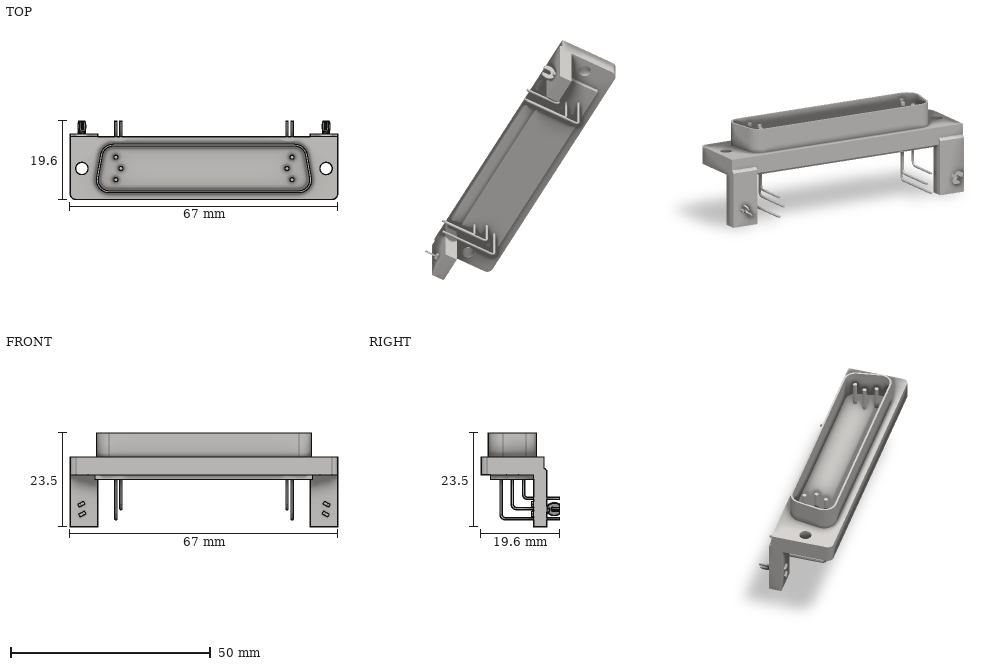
import cadquery as cq
import math


length = 67.0
flange_front = -7.8
flange_back = 8.0
flange_height = 4.5
flange_corner_radius = 1.5
mount_hole_diameter = 3.0
mount_hole_x = 30.55

shell_height = 6.0
shell_depth = 12.1
shell_wide_length = 55.1
shell_side_angle = 10.0
shell_corner_radius = 3.2
shell_wall = 0.5
shell_floor_depth = 0.7

pad_length = 54.4
pad_depth = 11.0
pad_height = 1.2

bracket_width = 7.0
bracket_back = 8.65
bracket_thickness = 3.3
bracket_bottom = -17.5
bracket_step_z = -2.75
bracket_step = bracket_back - flange_back

row_pitch = 2.8
outer_pin_x = 22.05
middle_pin_x = 20.8
pin_diameter = 1.0
pin_tip_z = 5.4
tail_diameter = 0.6
tail_bend_radius = 1.1
tail_end_y = 11.85
middle_tail_z = -12.9
tail_pitch = 2.55

lock_z = -13.05
lock_twist = 28.0
hook_width = 1.6
hook_thickness = 0.8
hook_protrusion = 0.6
hook_offset_across = 1.15
hook_offset_along = 0.5
lock_base_protrusion = 0.6
prong_thickness = 0.4
prong_base_half_width = 0.7
prong_bulge_half_width = 1.75
prong_tip_half_width = 1.3
prong_bulge_y = 10.7
prong_slot_width = 1.2
prong_slot_depth = 2.15
lock_embed = 0.7


def make_flange():
    depth = flange_back - flange_front
    center_y = (flange_back + flange_front) / 2
    return (
        cq.Workplane("XY")
        .box(length, depth, flange_height, centered=(True, True, False))
        .translate((0, center_y, -flange_height))
        .edges("|Z and <Y")
        .fillet(flange_corner_radius)
    )


def d_prism(inset, z_bottom, z_top):
    """D-shaped prism whose sides are set in from the shell outline."""
    half_depth = shell_depth / 2
    wide_half = shell_wide_length / 2
    narrow_half = wide_half - shell_depth * math.tan(math.radians(shell_side_angle))
    outline = (
        cq.Workplane("XY")
        .workplane(offset=z_bottom)
        .polyline([
            (-wide_half, -half_depth),
            (wide_half, -half_depth),
            (narrow_half, half_depth),
            (-narrow_half, half_depth),
        ])
        .close()
    )
    if inset:
        outline = outline.offset2D(-inset)
    return outline.extrude(z_top - z_bottom).edges("|Z").fillet(shell_corner_radius - inset)


def make_pad():
    return (
        cq.Workplane("XY")
        .box(pad_length, pad_depth, pad_height, centered=(True, True, False))
        .translate((0, 0, -flange_height - pad_height))
    )


def make_bracket(side):
    """Bracket leg at one end, with a small sloped step where it leaves the flange back."""
    bracket_front = bracket_back - bracket_thickness
    leg = (
        cq.Workplane("YZ")
        .polyline([
            (bracket_front, bracket_bottom),
            (bracket_back, bracket_bottom),
            (bracket_back, bracket_step_z - bracket_step),
            (flange_back, bracket_step_z),
            (bracket_front, bracket_step_z),
        ])
        .close()
        .extrude(bracket_width)
    )
    inner_x = length / 2 - bracket_width
    return leg.translate((inner_x if side > 0 else -length / 2, 0, 0))


def make_contact(x, y, tail_z):
    """Straight mating pin joined to a thin tail bent toward +Y."""
    pad_bottom = -flange_height - pad_height
    pin_bottom = -flange_height
    pin = cq.Workplane("XY", origin=(x, y, pin_bottom)).circle(pin_diameter / 2)
    pin = pin.extrude(pin_tip_z - pin_bottom)
    tail_top = (pad_bottom + pin_bottom) / 2
    bend_mid = tail_bend_radius * (1 - math.sqrt(0.5))
    path = (
        cq.Workplane("YZ", origin=(x, 0, 0))
        .moveTo(y, tail_top)
        .lineTo(y, tail_z + tail_bend_radius)
        .threePointArc((y + bend_mid, tail_z + bend_mid), (y + tail_bend_radius, tail_z))
        .lineTo(tail_end_y, tail_z)
    )
    tail = cq.Workplane("XY", origin=(x, y, tail_top)).circle(tail_diameter / 2).sweep(path)
    return pin.union(tail)


def make_hook():
    """Front end of a board-lock leg, with its -X front edge rounded over."""
    bracket_front = bracket_back - bracket_thickness
    return (
        cq.Workplane("XY")
        .box(hook_width, hook_protrusion + lock_embed, hook_thickness, centered=(True, False, True))
        .translate((0, bracket_front - hook_protrusion, 0))
        .edges("|Z and <X and <Y")
        .fillet(hook_protrusion)
        .translate((hook_offset_along, 0, hook_offset_across))
    )


def make_prongs():
    """Split tail of a board lock: two bowed prongs either side of a round-ended slot."""
    root_y = bracket_back - lock_embed
    slot_radius = prong_slot_width / 2
    slot_end_y = tail_end_y - prong_slot_depth
    bow_start = (bracket_back, prong_base_half_width)
    bow_peak = (prong_bulge_y, prong_bulge_half_width)
    bow_end = (tail_end_y, prong_tip_half_width)
    blade = (
        cq.Workplane("YZ")
        .moveTo(root_y, -prong_base_half_width)
        .lineTo(bow_start[0], -bow_start[1])
        .threePointArc((bow_peak[0], -bow_peak[1]), (bow_end[0], -bow_end[1]))
        .lineTo(tail_end_y, -slot_radius)
        .lineTo(slot_end_y + slot_radius, -slot_radius)
        .threePointArc((slot_end_y, 0), (slot_end_y + slot_radius, slot_radius))
        .lineTo(tail_end_y, slot_radius)
        .lineTo(*bow_end)
        .threePointArc(bow_peak, bow_start)
        .lineTo(root_y, prong_base_half_width)
        .close()
        .extrude(prong_thickness / 2, both=True)
    )
    base = (
        cq.Workplane("XY")
        .box(hook_width, lock_embed + lock_base_protrusion, hook_thickness, centered=(True, False, True))
        .translate((0, root_y, 0))
    )
    return blade.union(base)


def make_left_board_lock():
    hook = make_hook()
    opposite_hook = hook.rotate((0, 0, 0), (0, 1, 0), 180)
    lock = make_prongs().union(hook).union(opposite_hook)
    return lock.rotate((0, 0, 0), (0, 1, 0), -lock_twist).translate((-mount_hole_x, 0, lock_z))


body = make_flange().union(d_prism(0, -shell_floor_depth, shell_height))
body = body.cut(d_prism(shell_wall, -shell_floor_depth, shell_height))
body = body.union(make_pad())
mount_holes = (
    cq.Workplane("XY")
    .pushPoints([(-mount_hole_x, 0), (mount_hole_x, 0)])
    .circle(mount_hole_diameter / 2)
    .extrude(-flange_height)
)
body = body.cut(mount_holes)

left_lock = make_left_board_lock()
for side in (-1, 1):
    body = body.union(make_bracket(side))
body = body.union(left_lock).union(left_lock.mirror("YZ"))

for row, pin_x in ((-1, outer_pin_x), (0, middle_pin_x), (1, outer_pin_x)):
    tail_z = middle_tail_z + row * tail_pitch
    for side in (-1, 1):
        body = body.union(make_contact(side * pin_x, row * row_pitch, tail_z))

result = body